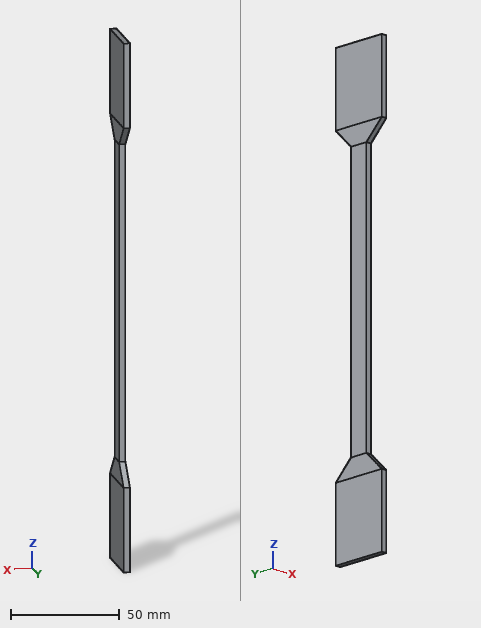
import cadquery as cq

total_length = 250.0
thickness = 3.0
grip_width = 30.0
gauge_width = 10.0
grip_length = 40.0
taper_length = (grip_width - gauge_width) / 2
gauge_length = total_length - 2 * (grip_length + taper_length)

taper_start = gauge_length / 2
grip_start = taper_start + taper_length


def make_gauge():
    """Narrow strip in the middle of the specimen."""
    return cq.Workplane("XY").box(thickness, gauge_width, gauge_length)


def make_taper(side):
    """Trapezoid widening from the gauge to a grip; side is +1 (top) or -1 (bottom)."""
    return (
        cq.Workplane("YZ")
        .moveTo(-gauge_width / 2, side * taper_start)
        .lineTo(gauge_width / 2, side * taper_start)
        .lineTo(grip_width / 2, side * grip_start)
        .lineTo(-grip_width / 2, side * grip_start)
        .close()
        .extrude(thickness / 2, both=True)
    )


def make_grip(side):
    """Wide rectangular end plate; side is +1 (top) or -1 (bottom)."""
    grip_center = grip_start + grip_length / 2
    return (
        cq.Workplane("XY")
        .box(thickness, grip_width, grip_length)
        .translate((0, 0, side * grip_center))
    )


gauge = make_gauge()
tapers = []
grips = []
for end in (1, -1):
    tapers.append(make_taper(end).val())
    grips.append(make_grip(end).val())

result = cq.Compound.makeCompound([gauge.val(), *tapers, *grips])